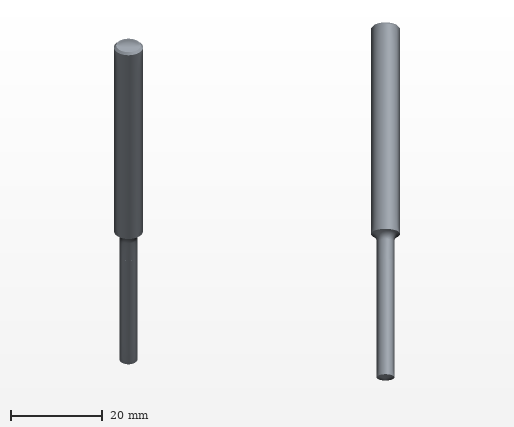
import cadquery as cq
import math

total_length = 82.55
shank_diameter = 6.35
neck_diameter = 3.9

joint_height = 27.7
neck_length = 4.6
flare_height = 1.8
top_chamfer = 0.5
point_angle = 140.0

shank_radius = shank_diameter / 2
neck_radius = neck_diameter / 2
point_height = neck_radius / math.tan(math.radians(point_angle / 2))
bottom = -total_length / 2
top = bottom + total_length
joint_z = bottom + joint_height
flare_start_z = joint_z + neck_length
flare_end_z = flare_start_z + flare_height

flare_width = shank_radius - neck_radius
flare_radius = (flare_width**2 + flare_height**2) / (2 * flare_width)
flare_half_angle = math.asin(flare_height / flare_radius) / 2
flare_middle = (
    neck_radius + flare_radius * (1 - math.cos(flare_half_angle)),
    flare_start_z + flare_radius * math.sin(flare_half_angle),
)


def revolve_about_z(profile):
    """Turn a closed radius-height profile into a solid of revolution."""
    return profile.close().revolve(360, (0, 0), (0, 1))


def make_shank():
    """Chamfered shank that tapers down to a narrower neck."""
    profile = (
        cq.Workplane(cq.Plane((0, 0, 0), (-1, 0, 0), (0, 1, 0)))
        .moveTo(0, joint_z)
        .lineTo(neck_radius, joint_z)
        .lineTo(neck_radius, flare_start_z)
        .threePointArc(flare_middle, (shank_radius, flare_end_z))
        .lineTo(shank_radius, top - top_chamfer)
        .lineTo(shank_radius - top_chamfer, top)
        .lineTo(0, top)
    )
    return revolve_about_z(profile)


def make_cutting_tip():
    """Round cutting length that ends in a conical drill point."""
    profile = (
        cq.Workplane(cq.Plane((0, 0, 0), (0, -1, 0), (-1, 0, 0)))
        .moveTo(0, bottom)
        .lineTo(neck_radius, bottom + point_height)
        .lineTo(neck_radius, joint_z)
        .lineTo(0, joint_z)
    )
    return revolve_about_z(profile)


shank = make_shank()
cutting_tip = make_cutting_tip()
result = cq.Compound.makeCompound([shank.val(), cutting_tip.val()])